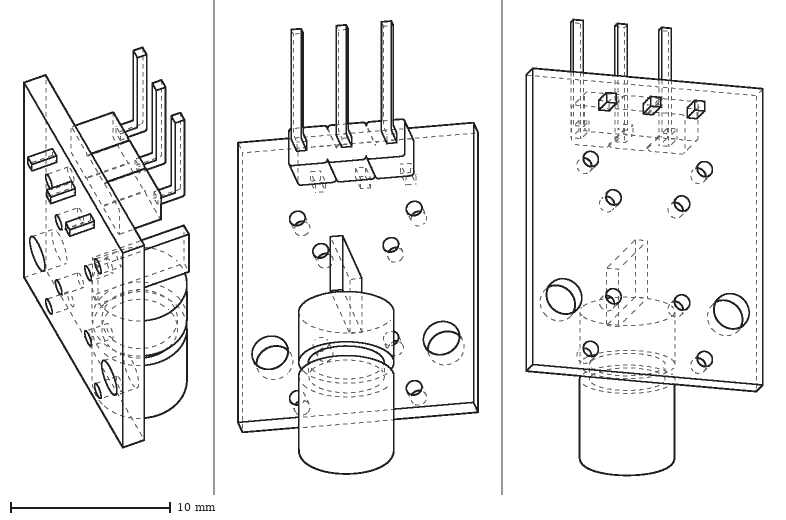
import cadquery as cq

overall_height = 29.2

board_width = 15.1
board_height = 19.5
board_thickness = 1.5
board_bottom = 4.45

pin_count = 3
pin_pitch = 2.9
pin_size = 0.65
pin_tail = 1.7
pin_reach = 4.73
pin_height = 21.9
pin_inner_fillet = 0.05
pin_outer_fillet = 0.18

cell_width = 2.48
cell_height = 2.6
cell_depth = 2.9
cell_fillet = 0.23

barrel_diameter = 6.0
barrel_length = 10.0
barrel_axis_gap = 3.07
barrel_fillet = 0.35
groove_diameter = 4.75
groove_bottom = 5.52
groove_top = 6.48

fin_thickness = 0.8
fin_depth = 6.3
fin_height = 3.77

small_hole_diameter = 1.0
small_hole_pairs = [(3.75, 18.3), (2.25, 15.9), (2.25, 9.4), (3.75, 5.8)]
mounting_hole_diameter = 2.3
mounting_hole_pairs = [(5.5, 9.1)]


def box(width, depth, height, x_center, y_start, z_start):
    """Box centred on x_center that grows in +Y and +Z from its starting corner."""
    block = cq.Workplane("XY").box(width, depth, height, centered=(True, False, False))
    return block.translate((x_center, y_start, z_start))


def row_positions(pitch):
    """X positions of the header row, centred on X = 0."""
    return [(index - (pin_count - 1) / 2) * pitch for index in range(pin_count)]


def hole_pairs(pairs, diameter):
    """Cylinders through the board at each pair of mirrored positions."""
    centers = [(side * x, z) for x, z in pairs for side in (-1, 1)]
    return cq.Workplane("XZ").pushPoints(centers).circle(diameter / 2).extrude(-board_thickness)


def make_board():
    board = box(board_width, board_thickness, board_height, 0, 0, board_bottom)
    board = board.cut(hole_pairs(small_hole_pairs, small_hole_diameter))
    return board.cut(hole_pairs(mounting_hole_pairs, mounting_hole_diameter))


def make_pin(x_center):
    """L-shaped square pin: straight through the board, then bent upwards."""
    bottom = pin_height - pin_size / 2
    front = board_thickness + pin_reach
    outline = [
        (-pin_tail, bottom),
        (front, bottom),
        (front, overall_height),
        (front - pin_size, overall_height),
        (front - pin_size, bottom + pin_size),
        (-pin_tail, bottom + pin_size),
    ]
    pin = cq.Workplane("YZ").polyline(outline).close().extrude(pin_size / 2, both=True)
    pin = pin.edges(cq.NearestToPointSelector((0, front, bottom))).fillet(pin_outer_fillet)
    inner_corner = (0, front - pin_size, bottom + pin_size)
    pin = pin.edges(cq.NearestToPointSelector(inner_corner)).fillet(pin_inner_fillet)
    return pin.translate((x_center, 0, 0))


def make_header_cell(x_center):
    cell = box(cell_width, cell_depth, cell_height, x_center, board_thickness, pin_height - cell_height / 2)
    return cell.edges("|Y").fillet(cell_fillet)


def make_barrel():
    barrel = cq.Workplane("XY").circle(barrel_diameter / 2).extrude(barrel_length)
    barrel = barrel.faces("<Z").edges().fillet(barrel_fillet)
    groove = (
        cq.Workplane("XY", origin=(0, 0, groove_bottom))
        .circle(barrel_diameter)
        .circle(groove_diameter / 2)
        .extrude(groove_top - groove_bottom)
    )
    return barrel.cut(groove).translate((0, board_thickness + barrel_axis_gap, 0))


def make_fin():
    return box(fin_thickness, fin_depth, fin_height, 0, board_thickness, barrel_length)


result = make_board().union(make_fin()).union(make_barrel())
for cell_x in row_positions(cell_width):
    result = result.union(make_header_cell(cell_x))
for pin_x in row_positions(pin_pitch):
    result = result.union(make_pin(pin_x))